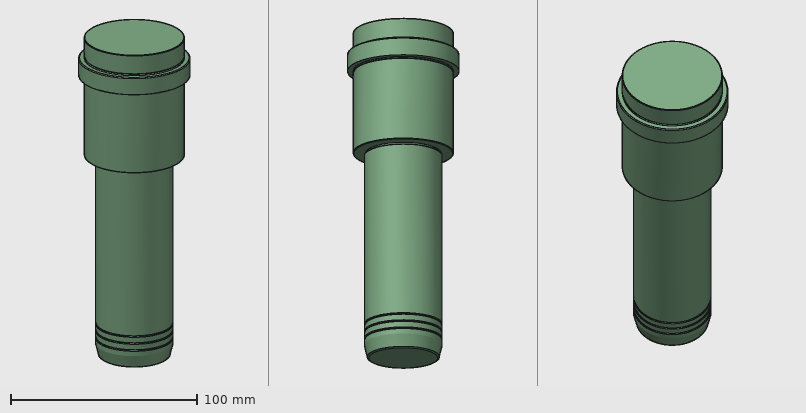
import cadquery as cq

total_height = 183.0
body_bottom = 115.1
collar_bottom = 161.4
collar_top = 171.3

collar_diameter = 60.0
body_diameter = 54.0
shaft_diameter = 41.9
tip_diameter = 38.8

taper_height = 7.1
tip_chamfer_height = 0.5
tip_chamfer_width = 1.0
collar_chamfer = 0.5
body_chamfer = 0.4

collar_relief_width = 1.1

neck_height = 1.1
neck_depth = 0.5

ring_groove_width = 1.0
ring_groove_pitch = 4.0
ring_groove_count = 3
first_ring_groove = 10.0


def cylinder(diameter, bottom, top):
    """Solid cylinder on the Z axis between two heights."""
    return cq.Workplane("XY").workplane(offset=bottom).circle(diameter / 2).extrude(top - bottom)


def v_groove(diameter, bottom, width):
    """Ring of triangular section that cuts a 90 degree V-groove into a cylinder."""
    radius = diameter / 2
    half_width = width / 2
    reach = 2 * half_width
    middle = bottom + half_width
    section = cq.Workplane("XZ").polyline([
        (radius - half_width, middle),
        (radius - half_width + reach, middle + reach),
        (radius - half_width + reach, middle - reach),
    ]).close()
    return section.revolve(360, (0, 0, 0), (0, 1, 0))


tip_radius = tip_diameter / 2
shaft_radius = shaft_diameter / 2
shaft = (
    cq.Workplane("XZ")
    .moveTo(0, 0)
    .lineTo(tip_radius - tip_chamfer_width, 0)
    .lineTo(tip_radius, tip_chamfer_height)
    .lineTo(shaft_radius, taper_height)
    .lineTo(shaft_radius, body_bottom - neck_height)
    .lineTo(shaft_radius - neck_depth, body_bottom - neck_height)
    .lineTo(shaft_radius - neck_depth, body_bottom)
    .lineTo(0, body_bottom)
    .close()
    .revolve(360, (0, 0, 0), (0, 1, 0))
)

for index in range(ring_groove_count):
    groove_bottom = first_ring_groove + index * ring_groove_pitch
    shaft = shaft.cut(v_groove(shaft_diameter, groove_bottom, ring_groove_width))

body = cylinder(body_diameter, body_bottom, total_height).faces("<Z or >Z").chamfer(body_chamfer)
for relief_bottom in (collar_bottom - collar_relief_width, collar_top):
    body = body.cut(v_groove(body_diameter, relief_bottom, collar_relief_width))

collar = cylinder(collar_diameter, collar_bottom, collar_top).faces(">Z").chamfer(collar_chamfer)

result = shaft.union(body).union(collar)